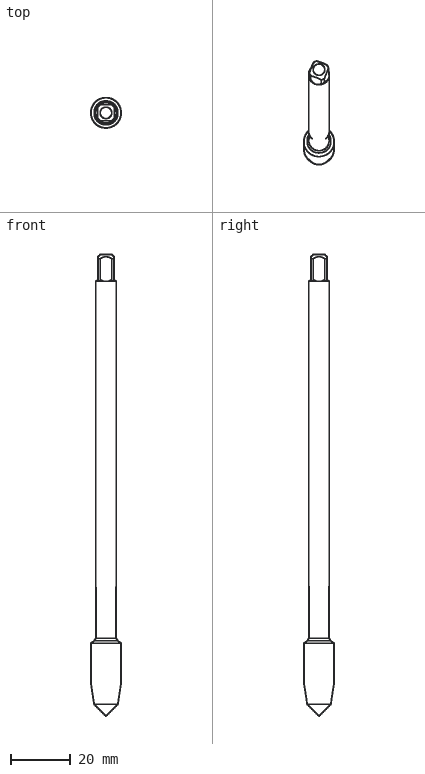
import cadquery as cq

POINT_TOP_Z = 4.0
LEAD_TOP_Z = 11.1
CROWN_Z = 24.4
FLARE_TOP_Z = 25.2
NECK_BOTTOM_Z = 26.0
NECK_TOP_Z = 42.7
SHANK_BOTTOM_Z = 43.7
SQUARE_BOTTOM_Z = 145.4
OVERALL_LENGTH = 154.3

POINT_DIAMETER = 2 * POINT_TOP_Z
HEAD_DIAMETER = 10.2
FLARE_DIAMETER = 8.0
NECK_DIAMETER = 6.8
SHANK_DIAMETER = 7.0

FLAT_COUNT = 4
SQUARE_SIDE = 5.4
SQUARE_CORNER_DIAMETER = 6.6
SHOULDER_RADIUS = 1.0
END_CHAMFER = 1.4


def revolve_profile(outline):
    """Revolve a list of (diameter, z) stations about the Z axis."""
    points = [(diameter / 2, z) for diameter, z in outline]
    return cq.Workplane("XZ").polyline(points).close().revolve(360, (0, 0), (0, 1))


def make_head():
    """Threading head: conical point, tapered lead and cylinder."""
    return revolve_profile([
        (0, 0),
        (POINT_DIAMETER, POINT_TOP_Z),
        (HEAD_DIAMETER, LEAD_TOP_Z),
        (HEAD_DIAMETER, CROWN_Z),
        (0, CROWN_Z),
    ])


def make_round_shank():
    """Shank with a reduced neck that flares out to meet the head and a slimmer, chamfered end."""
    corner_bottom_z = SQUARE_BOTTOM_Z + (SHANK_DIAMETER - SQUARE_CORNER_DIAMETER) / 2
    return revolve_profile([
        (0, CROWN_Z),
        (HEAD_DIAMETER, CROWN_Z),
        (FLARE_DIAMETER, FLARE_TOP_Z),
        (NECK_DIAMETER, NECK_BOTTOM_Z),
        (NECK_DIAMETER, NECK_TOP_Z),
        (SHANK_DIAMETER, SHANK_BOTTOM_Z),
        (SHANK_DIAMETER, SQUARE_BOTTOM_Z),
        (SQUARE_CORNER_DIAMETER, corner_bottom_z),
        (SQUARE_CORNER_DIAMETER, OVERALL_LENGTH - END_CHAMFER),
        (SQUARE_CORNER_DIAMETER - 2 * END_CHAMFER, OVERALL_LENGTH),
        (0, OVERALL_LENGTH),
    ])


def make_flat_cutter():
    """Block that cuts the +X flat, with its inner bottom edge rounded for the shoulder."""
    return (
        cq.Workplane("XY")
        .workplane(offset=SQUARE_BOTTOM_Z)
        .center(SQUARE_SIDE / 2 + SHANK_DIAMETER / 2, 0)
        .rect(SHANK_DIAMETER, 2 * SHANK_DIAMETER)
        .extrude(OVERALL_LENGTH - SQUARE_BOTTOM_Z)
        .edges("<X and <Z")
        .fillet(SHOULDER_RADIUS)
    )


def make_shank():
    """Round shank with the four flats of the square drive cut into its end."""
    shank = make_round_shank()
    flat_cutter = make_flat_cutter()
    for flat in range(FLAT_COUNT):
        angle = flat * 360 / FLAT_COUNT
        shank = shank.cut(flat_cutter.rotate((0, 0, 0), (0, 0, 1), angle))
    return shank


head = make_head()
shank = make_shank()

result = cq.Compound.makeCompound([head.val(), shank.val()])